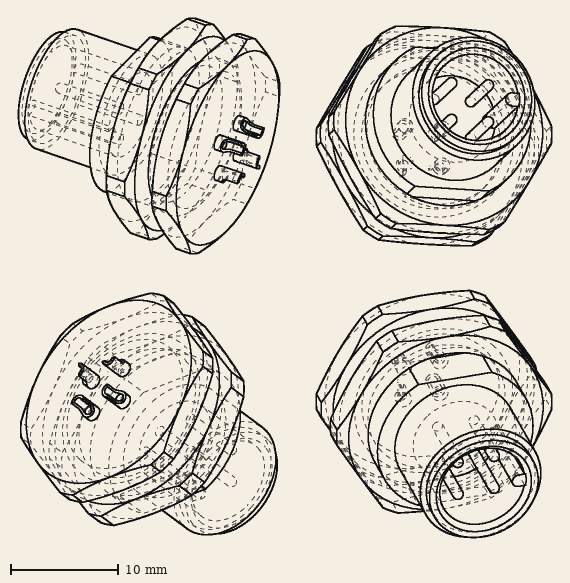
import cadquery as cq
import math

SLEEVE_START = 1.05
COLLAR_START = 9.05
FLANGE_START = 12.0
FLANGE_END = 15.0
NUT_START = 16.95
NUT_END = 19.5
TAIL_END = 22.0

TIP_DIA = 10.6
SLEEVE_DIA = 11.8
COLLAR_DIA = 15.2
COLLAR_FLATS = 13.4
COLLAR_SEAT_DEPTH = 1.0

HEX_ACROSS_FLATS = 19.0
HEX_CORNER_DIA = 21.02
HEX_CHAMFER_LENGTH = 0.5

RING_OUTER_DIA = 15.35
RING_SECTION_DIA = NUT_START - FLANGE_END

BORE_DIA = 8.3
BORE_MOUTH_DIA = 9.3
BORE_CHAMFER = (BORE_MOUTH_DIA - BORE_DIA) / 2
BORE_DEPTH = 9.0
KEY_WIDTH = 1.26
KEY_TIP_RADIUS = 2.9
KEY_START = 0.4

CONTACT_COUNT = 4
CONTACT_CIRCLE_DIA = 5.0
FIRST_CONTACT_ANGLE = 45.0
PIN_DIA = 1.0
PIN_START = 2.0
TAIL_DIA = 1.44
CUP_DIA = 0.86
CUP_LENGTH = 1.78
CUP_CUT_HEIGHT = 0.12
CUP_CUT_RADIUS = 0.73


def cylinder_x(diameter, start, end):
    """Solid cylinder on the X axis between two stations."""
    return cq.Workplane("YZ", origin=(start, 0, 0)).circle(diameter / 2).extrude(end - start)


def hex_disc(start, end):
    """Hexagon with its flats at +Z and -Z, turned down at the corners and chamfered on both faces."""
    across_corners = HEX_ACROSS_FLATS / math.cos(math.pi / 6)
    hexagon = cq.Workplane("YZ", origin=(start, 0, 0)).polygon(6, across_corners).extrude(end - start)
    face_radius = HEX_ACROSS_FLATS / 2
    corner_radius = HEX_CORNER_DIA / 2
    turned_blank = (
        cq.Workplane("XY")
        .moveTo(start, 0)
        .lineTo(start, face_radius)
        .lineTo(start + HEX_CHAMFER_LENGTH, corner_radius)
        .lineTo(end - HEX_CHAMFER_LENGTH, corner_radius)
        .lineTo(end, face_radius)
        .lineTo(end, 0)
        .close()
        .revolve(360, (0, 0, 0), (1, 0, 0))
    )
    return hexagon.intersect(turned_blank)


def collar():
    """Round collar with flats facing +Z and -Z, seated in the front of the flange."""
    seat = FLANGE_START + COLLAR_SEAT_DEPTH
    length = seat - COLLAR_START
    flats = cq.Workplane("XY").box(length, COLLAR_DIA, COLLAR_FLATS, centered=(False, True, True))
    return cylinder_x(COLLAR_DIA, COLLAR_START, seat).intersect(
        flats.translate((COLLAR_START, 0, 0))
    )


def flange():
    """Hexagonal flange with a round recess that seats the collar."""
    recess = cylinder_x(COLLAR_DIA, FLANGE_START, FLANGE_START + COLLAR_SEAT_DEPTH)
    return hex_disc(FLANGE_START, FLANGE_END).cut(recess)


def sealing_ring():
    """O-ring around a core that joins the flange to the nut."""
    section_radius = RING_SECTION_DIA / 2
    centre_radius = RING_OUTER_DIA / 2 - section_radius
    torus = (
        cq.Workplane("XY")
        .center((FLANGE_END + NUT_START) / 2, centre_radius)
        .circle(section_radius)
        .revolve(360, (0, -centre_radius, 0), (1, -centre_radius, 0))
    )
    return torus.union(cylinder_x(2 * centre_radius, FLANGE_END, NUT_START))


def socket():
    """Volume of the chamfered bore, leaving the coding key on its -Y side."""
    bore = cylinder_x(BORE_DIA, 0, BORE_DEPTH)
    mouth = cq.Workplane("XY").add(
        cq.Solid.makeCone(
            BORE_MOUTH_DIA / 2, BORE_DIA / 2, BORE_CHAMFER, cq.Vector(0, 0, 0), cq.Vector(1, 0, 0)
        )
    )
    key_centre = KEY_TIP_RADIUS + KEY_WIDTH / 2
    key_reach = BORE_MOUTH_DIA / 2 - key_centre
    key_length = BORE_DEPTH - KEY_START
    key_plane = cq.Workplane("YZ", origin=(KEY_START, 0, 0))
    key_nose = key_plane.center(-key_centre, 0).circle(KEY_WIDTH / 2).extrude(key_length)
    key_web_centre = -key_centre - key_reach / 2
    key_web = key_plane.center(key_web_centre, 0).rect(key_reach, KEY_WIDTH).extrude(key_length)
    return bore.union(mouth).cut(key_nose).cut(key_web)


def contact():
    """Contact on the X axis: round-nosed pin in front, solder cup opening toward -Y behind."""
    nose_centre = PIN_START + PIN_DIA / 2
    nose = cq.Workplane("XY", origin=(nose_centre, 0, 0)).sphere(PIN_DIA / 2)
    pin = cylinder_x(PIN_DIA, nose_centre, BORE_DEPTH).union(nose)
    tail = cylinder_x(TAIL_DIA, BORE_DEPTH, TAIL_END)
    cup_start = TAIL_END - CUP_LENGTH
    cup_hole = cylinder_x(CUP_DIA, cup_start, TAIL_END)
    side_cut = (
        cq.Workplane("XY")
        .moveTo(cup_start, -TAIL_DIA)
        .lineTo(cup_start, CUP_CUT_HEIGHT - CUP_CUT_RADIUS)
        .radiusArc((cup_start + CUP_CUT_RADIUS, CUP_CUT_HEIGHT), CUP_CUT_RADIUS)
        .lineTo(TAIL_END, CUP_CUT_HEIGHT)
        .lineTo(TAIL_END, -TAIL_DIA)
        .close()
        .extrude(TAIL_DIA, both=True)
    )
    return pin.union(tail.cut(cup_hole).cut(side_cut))


housing = (
    cylinder_x(TIP_DIA, 0, SLEEVE_START)
    .union(cylinder_x(SLEEVE_DIA, SLEEVE_START, COLLAR_START))
    .union(collar())
    .union(flange())
    .union(sealing_ring())
    .union(hex_disc(NUT_START, NUT_END))
    .cut(socket())
)

contact_offset = CONTACT_CIRCLE_DIA / 2 * math.sin(math.radians(FIRST_CONTACT_ANGLE))
first_contact = contact().translate((0, -contact_offset, contact_offset))
result = housing
for index in range(CONTACT_COUNT):
    result = result.union(first_contact.rotate((0, 0, 0), (1, 0, 0), index * 360 / CONTACT_COUNT))